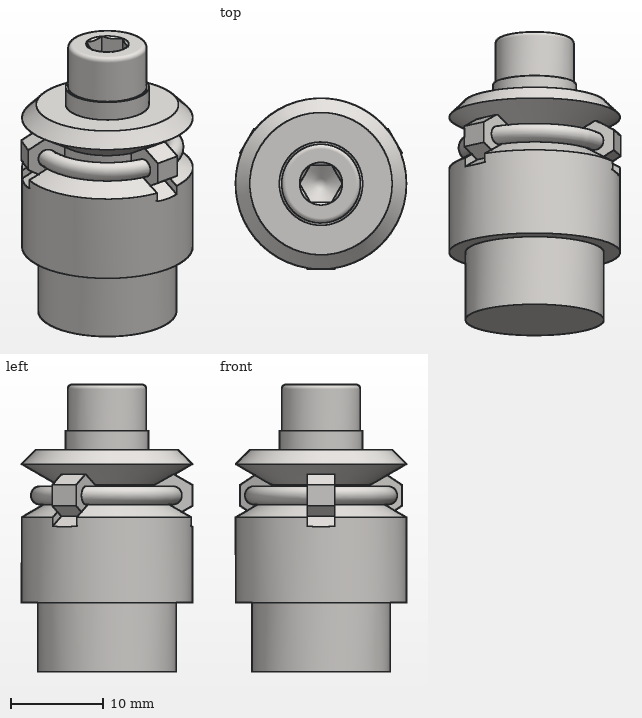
import cadquery as cq
import math

total_height = 31.1
spigot_top = 7.5
body_rim = 16.73
flange_rim = 22.5
flange_top = 24.05
collar_top = 26.1
ring_level = 19.1

spigot_radius = 7.5
body_diameter = 18.5
body_radius = body_diameter / 2
flange_top_radius = body_radius - (flange_top - flange_rim)
core_radius = 5.35
collar_radius = 4.5
head_radius = 4.25
head_fillet = 0.5

cone_slope = math.tan(math.radians(30))

wire_radius = 1.0
ring_outer_radius = 8.25

jaw_count = 3
first_jaw_angle = -90
jaw_width = 3.0
jaw_face_height = 2.27
slot_rim_depth = 1.03

socket_sides = 6
socket_flats = 4.0
socket_corners = socket_flats / math.cos(math.pi / socket_sides)
socket_depth = 2.5
socket_cone_slope = math.tan(math.radians(30))


def turned(profile):
    """Revolve a (radius, height) profile about the Z axis."""
    return cq.Workplane("XZ").polyline(profile).close().revolve(360, (0, 0), (0, 1))


def turned_body():
    """Spigot, body, necked core, double-cone flange, collar and screw head."""
    neck_rise = (body_radius - core_radius) * cone_slope
    profile = [
        (0, 0),
        (spigot_radius, 0),
        (spigot_radius, spigot_top),
        (body_radius, spigot_top),
        (body_radius, body_rim),
        (core_radius, body_rim + neck_rise),
        (core_radius, flange_rim - neck_rise),
        (body_radius, flange_rim),
        (flange_top_radius, flange_top),
        (collar_radius, flange_top),
        (collar_radius, collar_top),
        (head_radius, collar_top),
        (head_radius, total_height),
        (0, total_height),
    ]
    return turned(profile).faces(">Z").edges().fillet(head_fillet)


def spring_ring():
    """Round wire ring lying in the neck."""
    ring_radius = ring_outer_radius - wire_radius
    wire = cq.Workplane("XZ").center(ring_radius, ring_level).circle(wire_radius)
    return wire.revolve(360, (-ring_radius, 0), (-ring_radius, 1))


def radial_prism(profile, angle):
    """Extrude an (outward, up) profile to the jaw width and turn it to an angle."""
    prism = cq.Workplane("XZ").polyline(profile).close().extrude(jaw_width / 2, both=True)
    return prism.rotate((0, 0, 0), (0, 0, 1), angle)


face_top = ring_level + jaw_face_height / 2
face_bottom = ring_level - jaw_face_height / 2
slot_rim = body_rim - slot_rim_depth

jaw_top_inset = (flange_rim - face_top) / (2 * cone_slope)
jaw_foot_inset = (face_bottom - slot_rim) / (2 * cone_slope)
jaw_top_radius = body_radius - jaw_top_inset
jaw_top_level = face_top + jaw_top_inset * cone_slope
jaw_foot_radius = body_radius - jaw_foot_inset
jaw_foot_level = slot_rim + jaw_foot_inset * cone_slope


def jaw(angle):
    """Sliding jaw, bevelled above and below its flat outer face, rooted in the core."""
    root_radius = core_radius / 2
    profile = [
        (root_radius, jaw_foot_level),
        (jaw_foot_radius, jaw_foot_level),
        (body_radius, face_bottom),
        (body_radius, face_top),
        (jaw_top_radius, jaw_top_level),
        (root_radius, jaw_top_level),
    ]
    return radial_prism(profile, angle)


def jaw_slot(angle):
    """Slot under a jaw, its floor sloping up towards the axis."""
    clear_radius = body_radius + slot_rim_depth
    profile = [
        (jaw_foot_radius, jaw_foot_level),
        (body_radius, slot_rim),
        (clear_radius, slot_rim),
        (clear_radius, face_bottom),
        (jaw_foot_radius, face_bottom),
    ]
    return radial_prism(profile, angle)


def hex_socket():
    """Hexagon socket with a conical mouth and a conical bottom."""
    corner_radius = socket_corners / 2
    socket_floor = total_height - socket_depth
    cone_depth = corner_radius * socket_cone_slope
    hexagon = (
        cq.Workplane("XY", origin=(0, 0, total_height))
        .polygon(socket_sides, socket_corners)
        .extrude(-socket_depth - cone_depth)
    )
    tip_profile = [
        (0, socket_floor - cone_depth),
        (corner_radius, socket_floor),
        (corner_radius, total_height),
        (0, total_height),
    ]
    tip_envelope = turned(tip_profile)
    mouth_profile = [
        (0, total_height - cone_depth),
        (corner_radius, total_height),
        (0, total_height),
    ]
    mouth = turned(mouth_profile)
    return hexagon.intersect(tip_envelope).union(mouth)


jaw_angles = [first_jaw_angle + i * 360 / jaw_count for i in range(jaw_count)]

result = turned_body()
for jaw_angle in jaw_angles:
    result = result.cut(jaw_slot(jaw_angle))
for jaw_angle in jaw_angles:
    result = result.union(jaw(jaw_angle))
result = result.union(spring_ring())
result = result.cut(hex_socket())